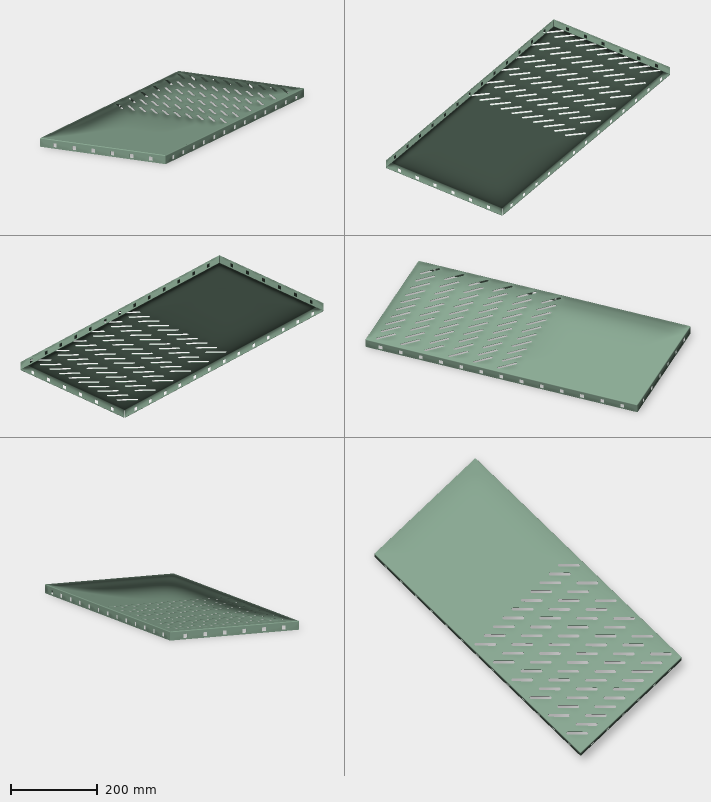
import cadquery as cq

width = 328.0
length = 675.0
height = 21.0
sheet = 1.0
bend_radius = 2.0
corner_relief = 1.5

slot_columns = 10
slot_rows = 6
slot_pitch_y = 60.0
slot_pitch_x = slot_pitch_y / 2
slot_length = 50.0
slot_width = 7.0
slot_angle = -45
first_row_inset = 40.0

hole_size = 9.5
hole_pitch = 50.0
hole_height = 8.0
end_wall_holes = 6
side_wall_holes = 13


def make_block(size_x, size_y, size_z, top_radius):
    """Block standing on Z = 0 with its four top edges rounded."""
    block = cq.Workplane("XY").box(size_x, size_y, size_z, centered=(True, True, False))
    return block.faces(">Z").edges().fillet(top_radius)


def make_tray():
    """Bent sheet with four walls turned down, open underneath."""
    outer = make_block(width, length, height, bend_radius)
    inner = make_block(width - 2 * sheet, length - 2 * sheet, height - sheet, bend_radius - sheet)
    return outer.cut(inner)


def make_corner_reliefs():
    """Square columns, wider than the sheet, that part the walls at the four upright corners."""
    return (
        cq.Workplane("XY")
        .rect(width - corner_relief, length - corner_relief, forConstruction=True)
        .vertices()
        .rect(corner_relief, corner_relief)
        .extrude(height)
    )


def make_slots():
    """Grid of round-ended slots sloping down toward +X, filling the +Y part of the sheet."""
    grid_centre_y = length / 2 - first_row_inset - (slot_rows - 1) * slot_pitch_y / 2
    return (
        cq.Workplane("XY")
        .center(0, grid_centre_y)
        .rarray(slot_pitch_x, slot_pitch_y, slot_columns, slot_rows)
        .slot2D(slot_length, slot_width, slot_angle)
        .extrude(height)
    )


def make_wall_holes(plane, count, reach):
    """Row of square holes passing through a pair of opposite walls."""
    return (
        cq.Workplane(plane)
        .center(0, hole_height)
        .rarray(hole_pitch, 7, count, 1)
        .rect(hole_size, hole_size)
        .extrude(reach / 2, both=True)
    )


result = (
    make_tray()
    .cut(make_corner_reliefs())
    .cut(make_slots())
    .cut(make_wall_holes("XZ", end_wall_holes, length))
    .cut(make_wall_holes("YZ", side_wall_holes, width))
    .solids()
)